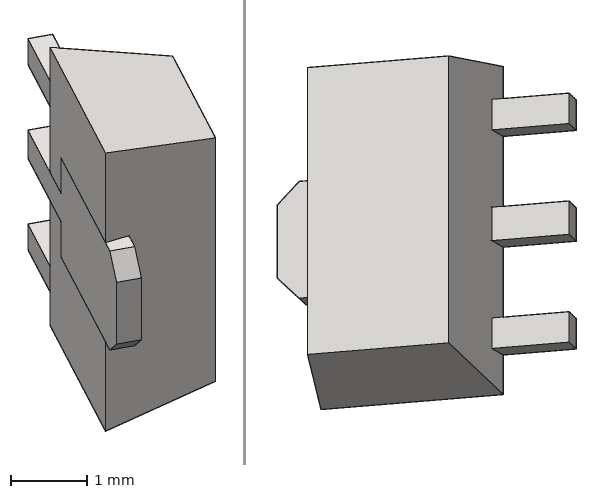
import cadquery as cq
import math

housing_width = 2.5
housing_height = 4.5
housing_depth = 1.6
draft_angle = 10.0

lead_reach = 1.0
sheet_thickness = 0.34
outer_lead_height = 0.42
lead_pitch = 1.5
center_lead_height = 0.46
tab_height = 1.6
tab_chamfer = 0.3
tab_inset = 0.5
tab_overhang = 0.5

overall_width = lead_reach + housing_width + tab_overhang
lead_tip_x = -overall_width / 2
tab_end_x = overall_width / 2
housing_left_x = lead_tip_x + lead_reach
housing_center_x = housing_left_x + housing_width / 2
mounting_y = -housing_depth / 2
wall_inset = sheet_thickness * math.tan(math.radians(draft_angle))


def mounting_plane():
    """Plane of the mounting face, with local x = X, local y = Z, seen from -Y."""
    return cq.Workplane("XZ", origin=(0, mounting_y, 0))


def make_housing_block():
    """Housing with all four side walls drafted, before the tab recess is cut."""
    return (
        mounting_plane()
        .center(housing_center_x, 0)
        .rect(housing_width, housing_height)
        .extrude(-housing_depth, taper=draft_angle)
    )


def make_heat_tab():
    """Center lead that widens into the heat tab, with its far corners chamfered."""
    half_lead = center_lead_height / 2
    half_tab = tab_height / 2
    shoulder_x = housing_left_x + tab_inset
    upper_outline = [
        (lead_tip_x, half_lead),
        (shoulder_x, half_lead),
        (shoulder_x, half_tab),
        (tab_end_x - tab_chamfer, half_tab),
        (tab_end_x, half_tab - tab_chamfer),
    ]
    lower_outline = [(x, -z) for x, z in reversed(upper_outline)]
    return mounting_plane().polyline(upper_outline + lower_outline).close().extrude(-sheet_thickness)


def make_outer_lead(center_z):
    """Straight lead whose inner end follows the drafted housing wall."""
    outline = [
        (lead_tip_x, mounting_y),
        (housing_left_x, mounting_y),
        (housing_left_x + wall_inset, mounting_y + sheet_thickness),
        (lead_tip_x, mounting_y + sheet_thickness),
    ]
    bottom_z = center_z - outer_lead_height / 2
    return cq.Workplane("XY", origin=(0, 0, bottom_z)).polyline(outline).close().extrude(outer_lead_height)


heat_tab = make_heat_tab()
housing = make_housing_block().cut(heat_tab)
outer_leads = [make_outer_lead(side * lead_pitch) for side in (-1, 1)]

result = cq.Compound.makeCompound([housing.val(), heat_tab.val(), *[lead.val() for lead in outer_leads]])